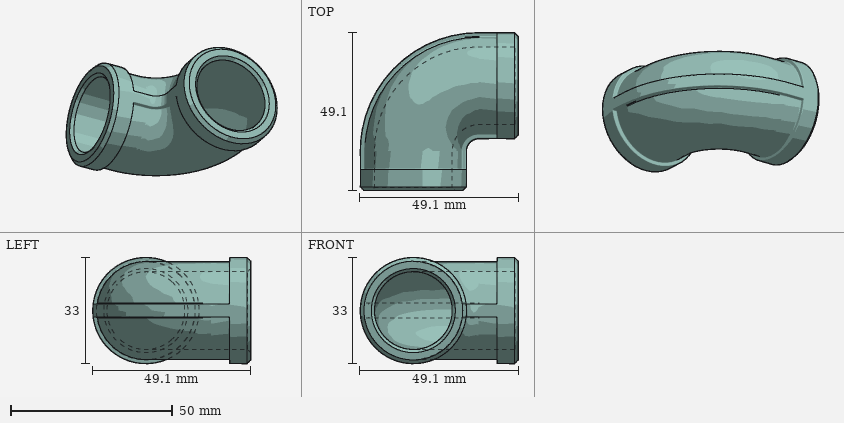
import cadquery as cq

overall_length = 49.05
collar_diameter = 33.0
body_diameter = 30.4
bore_diameter = 24.15
bend_radius = 20.3
collar_width = 6.55
rim_chamfer = 1.2
mouth_chamfer = 1.0
rib_width = 4.1
edge_radius = 0.3

leg_length = overall_length - collar_diameter / 2
straight_length = leg_length - bend_radius
collar_start = leg_length - collar_width


def elbow_pipe(diameter):
    """Solid round bar: a quarter bend with a straight leg at both ends."""
    radius = diameter / 2
    leg_x = cq.Workplane("YZ").workplane(offset=bend_radius).circle(radius).extrude(straight_length)
    leg_y = cq.Workplane("XZ").workplane(offset=bend_radius).circle(radius).extrude(straight_length)
    bend = (
        cq.Workplane("YZ", origin=(bend_radius, 0, 0))
        .circle(radius)
        .revolve(90, (-bend_radius, 0, 0), (-bend_radius, 1, 0))
    )
    return bend.union(leg_x).union(leg_y)


def upper_recess():
    """Space above the rib and behind the collars that leaves only the thinner body."""
    block_side = 2 * overall_length
    block = (
        cq.Workplane("XY")
        .box(block_side, block_side, overall_length, centered=False)
        .translate((collar_start - block_side, -collar_start, rib_width / 2))
        .edges("(>X and <Z) or (<Y and <Z)")
        .fillet(edge_radius)
    )
    return block.cut(elbow_pipe(body_diameter))


def round_recess_edges(solid):
    """Round the rim and the foot of the wall around both recesses."""
    middle_of_straight = (bend_radius + collar_start) / 2
    for side in (1, -1):
        for diameter in (collar_diameter, body_diameter):
            height = side * rib_width / 2
            offset = ((diameter / 2) ** 2 - height**2) ** 0.5
            loop_edge = solid.edges(cq.NearestToPointSelector((middle_of_straight, offset, height)))
            solid = loop_edge.fillet(edge_radius)
    return solid


def chamfer_bore_mouths(solid):
    """Chamfer the bore where it opens at both mouths."""
    for mouth_face in (">X", "<Y"):
        bore_edge = solid.faces(mouth_face).edges(cq.selectors.RadiusNthSelector(0))
        solid = bore_edge.chamfer(mouth_chamfer)
    return solid


elbow = elbow_pipe(collar_diameter).faces(">X or <Y").chamfer(rim_chamfer)
recess = upper_recess()
elbow = round_recess_edges(elbow.cut(recess).cut(recess.mirror("XY")))
result = chamfer_bore_mouths(elbow.cut(elbow_pipe(bore_diameter)))